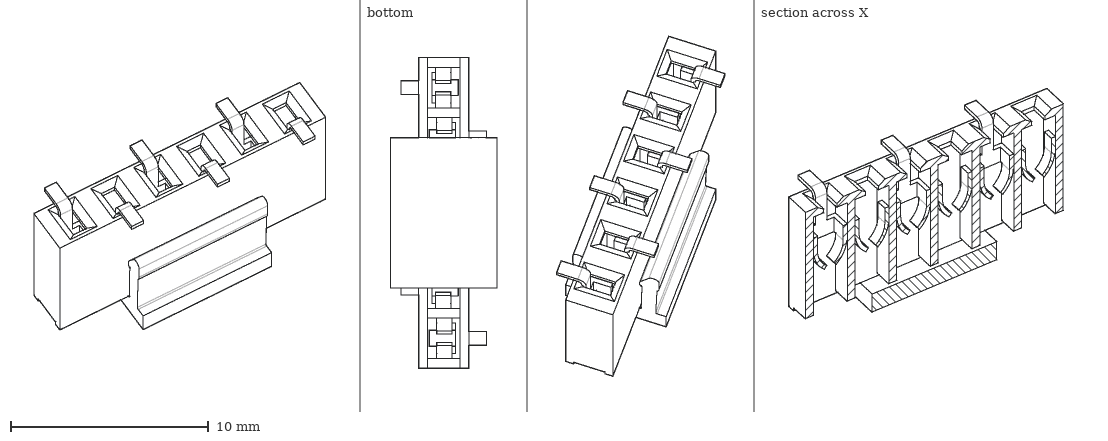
import cadquery as cq
import math

CONTACT_COUNT = 6
END_MARGIN = 1.53
HOUSING_LENGTH = 15.74
PITCH = (HOUSING_LENGTH - 2 * END_MARGIN) / (CONTACT_COUNT - 1)
HOUSING_WIDTH = 2.53
HOUSING_BOTTOM = 1.2
HOUSING_TOP = 8.31
FOOT_HEIGHT = 0.19

FUNNEL_X = 2.17
FUNNEL_Y = 1.59
THROAT_X = 1.46
THROAT_Y = 0.79
FUNNEL_DEPTH = 0.3
THROAT_DEPTH = 0.25
CAVITY_HALF_X = 0.83
CAVITY_HALF_Y = 1.02
CAVITY_TOP = HOUSING_TOP - FUNNEL_DEPTH - THROAT_DEPTH

OVERALL_HEIGHT = 8.6
SHEET = 0.25
TAIL_WIDTH = 0.71
TAIL_REACH = 2.17
LEG_OUTER_X = CAVITY_HALF_X
LEG_INNER_X = LEG_OUTER_X - SHEET
BEND_RADIUS = 0.44
PLATE_TOP = 6.42
PLATE_BOTTOM = 5.48
WALL_OUTER_Y = CAVITY_HALF_Y
WALL_INNER_Y = WALL_OUTER_Y - SHEET
SPRING_WIDTH = 0.79
SPRING_MAX_X = 0.42
SPRING_MIN_X = SPRING_MAX_X - SPRING_WIDTH
SPRING_RADIUS = 1.57
SPRING_GAP = 0.41

CLIP_LENGTH = 3 * PITCH
CLIP_WIDTH = 5.4
BASE_HEIGHT = HOUSING_BOTTOM
ARM_ROOT_INNER_X = 1.35
ARM_ROOT_OUTER_X = 2.14
NECK_INNER_X = 1.4
NECK_OUTER_X = 2.2
NECK_Z = 3.76
NOSE_SIDE_X = 1.35
NOSE_BOTTOM = 3.8
NOSE_TOP = 4.38
HEAD_OUTER_X = 2.31
HEAD_BOTTOM = 4.11
TIP_RADIUS = 0.3
TIP_TOP = 5.12
ROOT_FILLET = 0.08


def box(x_range, y_range, z_range):
    """Box between the given pairs of limits."""
    x_min, x_max = x_range
    y_min, y_max = y_range
    z_min, z_max = z_range
    size = (x_max - x_min, y_max - y_min, z_max - z_min)
    return cq.Workplane("XY").box(*size, centered=False).translate((x_min, y_min, z_min))


def make_pocket():
    """Void of one pocket, for a contact whose tail points to +X."""
    funnel = (
        cq.Workplane("XY").workplane(offset=HOUSING_TOP).rect(FUNNEL_X, FUNNEL_Y)
        .workplane(offset=-FUNNEL_DEPTH).rect(THROAT_X, THROAT_Y).loft(ruled=True)
    )
    throat = box(
        (-THROAT_X / 2, THROAT_X / 2),
        (-THROAT_Y / 2, THROAT_Y / 2),
        (HOUSING_BOTTOM, HOUSING_TOP - FUNNEL_DEPTH),
    )
    leg_slot = box((0, LEG_OUTER_X), (-TAIL_WIDTH / 2, TAIL_WIDTH / 2), (CAVITY_TOP, HOUSING_TOP))
    cavity = box(
        (-CAVITY_HALF_X, CAVITY_HALF_X), (-CAVITY_HALF_Y, CAVITY_HALF_Y), (HOUSING_BOTTOM, CAVITY_TOP)
    )
    return funnel.union(throat).union(leg_slot).union(cavity)


def polar_point(center, radius, angle):
    """Point on a circle, at an angle in radians."""
    return (center[0] + radius * math.cos(angle), center[1] + radius * math.sin(angle))


def make_strip():
    """Leg and tail: a strip bent through a right angle above the housing."""
    inner_radius = BEND_RADIUS - SHEET
    bend = (LEG_INNER_X + BEND_RADIUS, OVERALL_HEIGHT - BEND_RADIUS)
    middle_angle = math.radians(135)
    return (
        cq.Workplane("XZ")
        .moveTo(LEG_INNER_X, PLATE_BOTTOM)
        .lineTo(LEG_INNER_X, bend[1])
        .threePointArc(polar_point(bend, BEND_RADIUS, middle_angle), (bend[0], OVERALL_HEIGHT))
        .lineTo(TAIL_REACH, OVERALL_HEIGHT)
        .lineTo(TAIL_REACH, OVERALL_HEIGHT - SHEET)
        .lineTo(bend[0], OVERALL_HEIGHT - SHEET)
        .threePointArc(polar_point(bend, inner_radius, middle_angle), (LEG_OUTER_X, bend[1]))
        .lineTo(LEG_OUTER_X, PLATE_BOTTOM)
        .close()
        .extrude(TAIL_WIDTH / 2, both=True)
    )


def make_spring_side():
    """Side wall on the +Y side, with the spring that curls down and inward from it."""
    wall = box((SPRING_MIN_X, LEG_OUTER_X), (WALL_INNER_Y, WALL_OUTER_Y), (PLATE_BOTTOM, PLATE_TOP))
    outer_radius = SPRING_RADIUS + SHEET
    center = (WALL_INNER_Y - SPRING_RADIUS, PLATE_BOTTOM)
    tip_angle = -math.acos((SPRING_GAP / 2 - center[0]) / SPRING_RADIUS)
    spring = (
        cq.Workplane("YZ", origin=(SPRING_MIN_X, 0, 0))
        .moveTo(WALL_INNER_Y, PLATE_BOTTOM)
        .threePointArc(
            polar_point(center, SPRING_RADIUS, tip_angle / 2), polar_point(center, SPRING_RADIUS, tip_angle)
        )
        .lineTo(*polar_point(center, outer_radius, tip_angle))
        .threePointArc(polar_point(center, outer_radius, tip_angle / 2), (WALL_OUTER_Y, PLATE_BOTTOM))
        .close()
        .extrude(SPRING_WIDTH)
    )
    return wall.union(spring)


def make_contact():
    """One contact centred on the origin in Y, with its tail pointing to +X."""
    plate = box((LEG_INNER_X, LEG_OUTER_X), (-WALL_OUTER_Y, WALL_OUTER_Y), (PLATE_BOTTOM, PLATE_TOP))
    side = make_spring_side()
    return make_strip().union(plate).union(side).union(side.mirror("XZ"))


def place(shape, index):
    """Move a shape to its position in the row; tails point to -X and +X in turn."""
    turn = 180 if index % 2 == 0 else 0
    y = (index - (CONTACT_COUNT - 1) / 2) * PITCH
    return shape.rotate((0, 0, 0), (0, 0, 1), turn).translate((0, y, 0))


def make_housing():
    """Bar with a channel along its bottom and a row of pockets."""
    half_width = HOUSING_WIDTH / 2
    half_length = HOUSING_LENGTH / 2
    housing = box((-half_width, half_width), (-half_length, half_length), (HOUSING_BOTTOM, HOUSING_TOP))
    channel = box(
        (-CAVITY_HALF_X, CAVITY_HALF_X),
        (-half_length, half_length),
        (HOUSING_BOTTOM, HOUSING_BOTTOM + FOOT_HEIGHT),
    )
    housing = housing.cut(channel)
    pocket = make_pocket()
    for index in range(CONTACT_COUNT):
        housing = housing.cut(place(pocket, index))
    return housing


def make_clip_arm():
    """Latching arm on the +X side, whose rounded nose touches the housing."""
    tip = (HEAD_OUTER_X - TIP_RADIUS, TIP_TOP - TIP_RADIUS)
    nose_top = (NOSE_SIDE_X, NOSE_TOP)
    nose_crest = (HOUSING_WIDTH / 2, (NOSE_BOTTOM + NOSE_TOP) / 2)
    nose_direction = math.atan2(nose_top[1] - tip[1], nose_top[0] - tip[0])
    tangent_angle = nose_direction - math.acos(TIP_RADIUS / math.dist(nose_top, tip))
    return (
        cq.Workplane("XZ")
        .moveTo(ARM_ROOT_INNER_X, BASE_HEIGHT)
        .lineTo(NECK_INNER_X, NECK_Z)
        .lineTo(NOSE_SIDE_X, NOSE_BOTTOM)
        .threePointArc(nose_crest, nose_top)
        .lineTo(*polar_point(tip, TIP_RADIUS, tangent_angle))
        .threePointArc((tip[0], TIP_TOP), (HEAD_OUTER_X, tip[1]))
        .lineTo(HEAD_OUTER_X, HEAD_BOTTOM)
        .tangentArcPoint((NECK_OUTER_X, NECK_Z), relative=False)
        .lineTo(ARM_ROOT_OUTER_X, BASE_HEIGHT)
        .close()
        .extrude(CLIP_LENGTH / 2, both=True)
    )


def make_clip():
    """Base with a mirrored pair of arms and filleted arm roots."""
    half_width = CLIP_WIDTH / 2
    half_length = CLIP_LENGTH / 2
    base = box((-half_width, half_width), (-half_length, half_length), (0, BASE_HEIGHT))
    arm = make_clip_arm()
    clip = base.union(arm).union(arm.mirror("YZ"))
    root_edges = cq.selectors.BoxSelector(
        (-half_width + ROOT_FILLET, -half_length, BASE_HEIGHT - ROOT_FILLET),
        (half_width - ROOT_FILLET, half_length, BASE_HEIGHT + ROOT_FILLET),
    )
    return clip.edges("|Y").edges(root_edges).fillet(ROOT_FILLET)


housing = make_housing()
clip = make_clip()
contact = make_contact()
contacts = [place(contact, index).val() for index in range(CONTACT_COUNT)]
result = cq.Compound.makeCompound([housing.val(), clip.val(), *contacts])